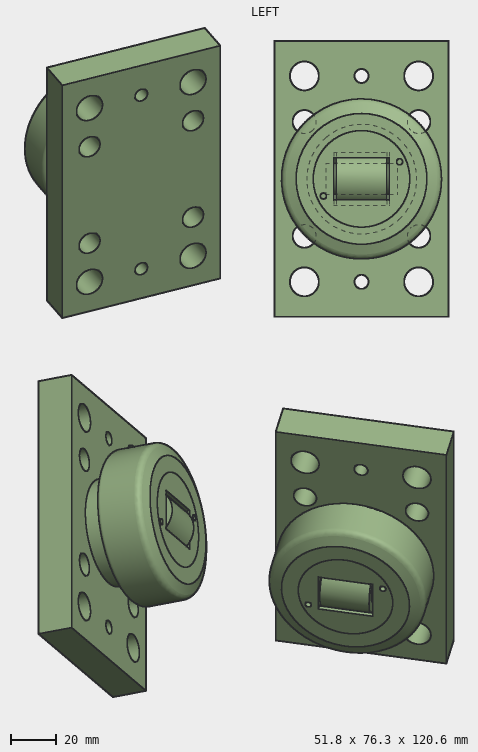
import cadquery as cq


plate_thickness = 16.0
plate_width = 76.3
plate_height = 120.6
corner_hole_radius = 6.3
inner_hole_radius = 5.1
centre_hole_radius = 3.0
hole_column_offset = 25.0
outer_row_height = 45.0
inner_row_height = hole_column_offset

hub_radius = 24.0
hub_length = 10.5
journal_radius = 21.1

ring_radius = 35
ring_width = 22.9
ring_face_radius = 28.6
front_chamfer_depth = 2.5
front_fillet_radius = 3.0
back_fillet_radius = 1.8

roller_radius = 11.6
roller_length = 22.0
roller_protrusion = 2.4
roller_pin_radius = 6.8
roller_pin_length = 31.4
pocket_length = 24.3
pocket_opening_height = 18.3

face_hole_radius = 1.3
face_hole_depth = 2.9
face_hole_y = 16.6
face_hole_z = 7.5

ring_back = -hub_length
ring_front = ring_back - ring_width
roller_axis = ring_front - roller_protrusion + roller_radius


def x_cylinder(radius, start, length, y=0, z=0):
    """Cylinder along +X from the given start."""
    return cq.Workplane(cq.Solid.makeCylinder(radius, length, cq.Vector(start, y, z), cq.Vector(1, 0, 0)))


def roller_cylinder(radius, length):
    """Cylinder along Y, centred on the axis of the axial roller."""
    start = cq.Vector(roller_axis, -length / 2, 0)
    return cq.Workplane(cq.Solid.makeCylinder(radius, length, start, cq.Vector(0, 1, 0)))


def make_plate():
    plate = cq.Workplane().box(plate_thickness, plate_width, plate_height, centered=(False, True, True))
    for side in (-1, 1):
        plate = plate.cut(x_cylinder(centre_hole_radius, 0, plate_thickness, z=side * outer_row_height))
        for column in (-hole_column_offset, hole_column_offset):
            for radius, height in (
                (corner_hole_radius, outer_row_height),
                (inner_hole_radius, inner_row_height),
            ):
                plate = plate.cut(x_cylinder(radius, 0, plate_thickness, column, side * height))
    return plate


def make_roller_pocket():
    """Rectangular mouth opening into a round seat that holds the roller."""
    mouth = cq.Workplane().box(
        roller_axis - ring_front, pocket_length, pocket_opening_height, centered=(False, True, True)
    ).translate((ring_front, 0, 0))
    return mouth.union(roller_cylinder(roller_radius, pocket_length))


def make_stud():
    hub = x_cylinder(hub_radius, ring_back, hub_length)
    journal = x_cylinder(journal_radius, ring_front, ring_width)
    stud = hub.union(journal)
    stud = stud.cut(make_roller_pocket())
    stud = stud.cut(roller_cylinder(roller_pin_radius, roller_pin_length))
    for side in (-1, 1):
        stud = stud.cut(
            x_cylinder(face_hole_radius, ring_front, face_hole_depth, -side * face_hole_y, side * face_hole_z)
        )
    return stud


def round_rim(blank, rim_x, radius):
    """Fillet the circular edge of the blank that lies at the given x."""
    rim = blank.edges("%CIRCLE").edges(cq.NearestToPointSelector((rim_x, 0, 0)))
    return rim.fillet(radius)


def make_outer_ring():
    chamfer_end = ring_front + front_chamfer_depth
    half_section = (
        cq.Workplane("XZ")
        .moveTo(ring_front, 0)
        .lineTo(ring_front, ring_face_radius)
        .lineTo(chamfer_end, ring_radius)
        .lineTo(ring_back, ring_radius)
        .lineTo(ring_back, 0)
        .close()
    )
    blank = half_section.revolve(360, (0, 0, 0), (1, 0, 0))
    blank = round_rim(blank, chamfer_end, front_fillet_radius)
    blank = round_rim(blank, ring_back, back_fillet_radius)
    return blank.cut(x_cylinder(journal_radius, ring_front, ring_width))


def make_axial_roller():
    roller = roller_cylinder(roller_radius, roller_length)
    return roller.cut(roller_cylinder(roller_pin_radius, roller_length))


def make_roller_pin():
    return roller_cylinder(roller_pin_radius, roller_pin_length)


plate = make_plate()
stud = make_stud()
outer_ring = make_outer_ring()
axial_roller = make_axial_roller()
roller_pin = make_roller_pin()

bodies = [plate, stud, outer_ring, axial_roller, roller_pin]
result = cq.Compound.makeCompound([body.solids().val() for body in bodies])